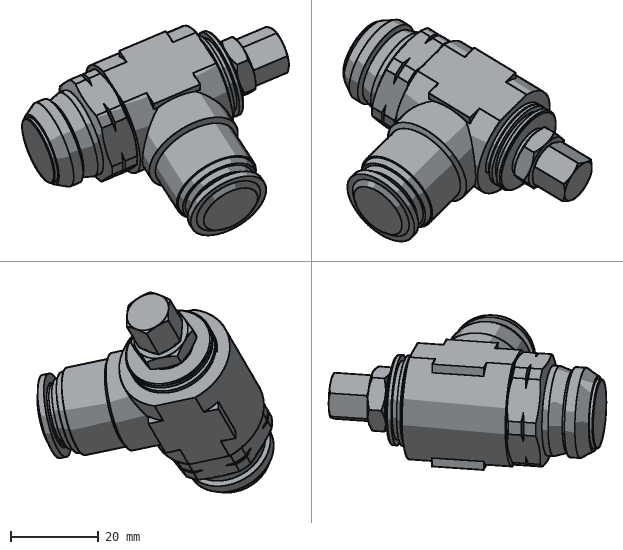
import cadquery as cq
import math

SWIVEL_TILT = 0.5

BODY_RADIUS = 13.45
BODY_HALF_LENGTH = 12.05
PAD_HALF_HEIGHT = 12.5
PAD_HALF_WIDTH = 8.5
PAD_LENGTH = BODY_HALF_LENGTH

BRANCH_RADIUS = 11.5
BRANCH_END = 16.8
SLEEVE_RADIUS = 10.3
SLEEVE_START = 17.55
SLEEVE_END = 28.0
CAP_RADIUS = 9.95
CAP_END_RADIUS = 9.5
CAP_END = 29.55
LIP_RADIUS = 8.9
LIP_END_RADIUS = 8.3
FLANGE_RADIUS = 9.8
FLANGE_START = 32.5
FLANGE_END = 34.0
COLLET_NECK_RADIUS = 7.3
COLLET_NECK_START = 31.05
COLLET_FLARE_LENGTH = 0.4
COLLET_FLARE_RADIUS = 7.6
COLLET_RIM_RADIUS = 8.25
COLLET_END_RADIUS = 7.0
COLLET_END = 35.05
COLLET_SLOT_LENGTH = 0.55
COLLET_SLOT_WIDTH = 0.95

STEM_RADIUS = 10.45
STEM_BOTTOM = -31.55
TIP_RADIUS = 8.05
TIP_CHAMFER = 0.2
NOSE_RADIUS = 8.7
NOSE_BOTTOM = -30.6
NOSE_TOP = -27.75
NECKING_RADIUS = 9.45
NECKING_BOTTOM = -25.3
NECKING_TOP = -24.6
TAPER_TOP = -21.5
COLLAR_CORE_RADIUS = 9.1
LOWER_RIB_BOTTOM = 13.1
LOWER_RIB_TOP = 13.95
UPPER_RIB_BOTTOM = 15.25
COLLAR_TOP = 16.45
COLLAR_EDGE = 0.3
CLIP_TOP = 12.95
CLIP_END_HEIGHT = -0.7
NECK_RADIUS = 6.05

NUT_ACROSS_FLATS = 23.95
NUT_CORNER_RADIUS = 13.0
NUT_TOP = -BODY_HALF_LENGTH
NUT_BOTTOM = -20.05
NUT_TOP_BEVEL = 0.55
NUT_BOTTOM_BEVEL = 0.95
NUT_GROOVE_Y = -16.0
NUT_GROOVE_HALF_WIDTH = 0.3
NUT_GROOVE_ROOT_RADIUS = 12.3

LOCK_NUT_ACROSS_FLATS = 13.05
LOCK_NUT_BOTTOM = 17.5
LOCK_NUT_TOP = 21.55
LOCK_NUT_BEVEL = 0.6
SCREW_ACROSS_FLATS = 10.1
SCREW_TOP = 30.95
SCREW_BEVEL = 0.45
SCREW_ANGLE = 34.0


def corner_radius(across_flats):
    return across_flats / 2 / math.cos(math.radians(30))


def turn_about_y(points):
    """Revolve a closed (radius, y) outline about the main axis."""
    return cq.Workplane("XY").polyline(points).close().revolve(360, (0, 0, 0), (0, 1, 0))


def turn_about_x(points):
    """Revolve a closed (x, radius) outline about the branch axis."""
    return cq.Workplane("XY").polyline(points).close().revolve(360, (0, 0, 0), (1, 0, 0))


def cylinder_y(radius, bottom, top):
    return cq.Workplane("XZ", origin=(0, top, 0)).circle(radius).extrude(top - bottom)


def hex_prism(across_flats, bottom, top, corner_angle=0.0):
    """Hexagonal bar along Y, with its first corner turned from +X toward +Z."""
    bar = cq.Workplane("XZ", origin=(0, top, 0)).polygon(6, 2 * corner_radius(across_flats))
    return bar.extrude(top - bottom).rotate((0, 0, 0), (0, 1, 0), -corner_angle)


def beveled_hex(across_flats, bottom, top, bevel, corner_angle=0.0):
    """Hexagonal bar whose corners are beveled at both ends."""
    flat_radius = across_flats / 2
    outer_radius = corner_radius(across_flats)
    envelope = turn_about_y([
        (0, bottom),
        (flat_radius, bottom),
        (outer_radius, bottom + bevel),
        (outer_radius, top - bevel),
        (flat_radius, top),
        (0, top),
    ])
    return hex_prism(across_flats, bottom, top, corner_angle).intersect(envelope)


def make_branch():
    branch = turn_about_x([
        (0, 0),
        (0, BRANCH_RADIUS),
        (BRANCH_END, BRANCH_RADIUS),
        (SLEEVE_START, SLEEVE_RADIUS),
        (SLEEVE_END, SLEEVE_RADIUS),
        (SLEEVE_END, CAP_RADIUS),
        (CAP_END, CAP_END_RADIUS),
        (CAP_END, LIP_RADIUS),
        (COLLET_NECK_START, LIP_END_RADIUS),
        (COLLET_NECK_START, COLLET_NECK_RADIUS),
        (FLANGE_START - COLLET_FLARE_LENGTH, COLLET_NECK_RADIUS),
        (FLANGE_START, COLLET_FLARE_RADIUS),
        (FLANGE_START, FLANGE_RADIUS),
        (FLANGE_END, FLANGE_RADIUS),
        (FLANGE_END, COLLET_RIM_RADIUS),
        (COLLET_END, COLLET_END_RADIUS),
        (COLLET_END, 0),
    ])
    slot_x = COLLET_NECK_START + COLLET_SLOT_LENGTH / 2
    slot = cq.Workplane("XY").box(COLLET_SLOT_LENGTH, COLLET_SLOT_WIDTH, 2 * SLEEVE_RADIUS)
    return branch.cut(slot.translate((slot_x, 0, 0)))


def make_swivel():
    """Body cylinder with trimmed top and bottom, wrench pads and branch."""
    barrel = cylinder_y(BODY_RADIUS, -BODY_HALF_LENGTH, BODY_HALF_LENGTH)
    trim = cq.Workplane("XY").box(2 * BODY_RADIUS, 2 * BODY_HALF_LENGTH, 2 * PAD_HALF_HEIGHT)
    pads = cq.Workplane("XY").box(2 * PAD_HALF_WIDTH, PAD_LENGTH, 2 * PAD_HALF_HEIGHT)
    swivel = barrel.intersect(trim).union(pads).union(make_branch())
    return swivel.rotate((0, 0, 0), (0, 1, 0), SWIVEL_TILT)


def make_stem():
    return turn_about_y([
        (0, STEM_BOTTOM),
        (TIP_RADIUS - TIP_CHAMFER, STEM_BOTTOM),
        (TIP_RADIUS, STEM_BOTTOM + TIP_CHAMFER),
        (TIP_RADIUS, NOSE_BOTTOM),
        (NOSE_RADIUS, NOSE_BOTTOM),
        (STEM_RADIUS, NOSE_TOP),
        (STEM_RADIUS, NECKING_BOTTOM),
        (NECKING_RADIUS, NECKING_TOP),
        (STEM_RADIUS, TAPER_TOP),
        (STEM_RADIUS, NUT_BOTTOM),
        (COLLAR_CORE_RADIUS, NUT_BOTTOM),
        (COLLAR_CORE_RADIUS, LOWER_RIB_BOTTOM),
        (STEM_RADIUS, LOWER_RIB_BOTTOM),
        (STEM_RADIUS, LOWER_RIB_TOP),
        (COLLAR_CORE_RADIUS, LOWER_RIB_TOP),
        (COLLAR_CORE_RADIUS, UPPER_RIB_BOTTOM),
        (STEM_RADIUS, UPPER_RIB_BOTTOM),
        (STEM_RADIUS, COLLAR_TOP - COLLAR_EDGE),
        (STEM_RADIUS - COLLAR_EDGE, COLLAR_TOP),
        (NECK_RADIUS, COLLAR_TOP),
        (NECK_RADIUS, LOCK_NUT_BOTTOM),
        (0, LOCK_NUT_BOTTOM),
    ])


def make_clip():
    """Half ring seated on the body around the upper side of the collar core."""
    ring = cylinder_y(STEM_RADIUS, BODY_HALF_LENGTH, CLIP_TOP)
    keep = cq.Workplane("XY").box(
        2 * STEM_RADIUS, 2 * CLIP_TOP, STEM_RADIUS - CLIP_END_HEIGHT, centered=(True, True, False)
    )
    return ring.intersect(keep.translate((0, 0, CLIP_END_HEIGHT)))


def make_nut():
    envelope = turn_about_y([
        (0, NUT_BOTTOM),
        (STEM_RADIUS, NUT_BOTTOM),
        (NUT_CORNER_RADIUS, NUT_BOTTOM + NUT_BOTTOM_BEVEL),
        (NUT_CORNER_RADIUS, NUT_GROOVE_Y - NUT_GROOVE_HALF_WIDTH),
        (NUT_GROOVE_ROOT_RADIUS, NUT_GROOVE_Y),
        (NUT_CORNER_RADIUS, NUT_GROOVE_Y + NUT_GROOVE_HALF_WIDTH),
        (NUT_CORNER_RADIUS, NUT_TOP - NUT_TOP_BEVEL),
        (NUT_ACROSS_FLATS / 2, NUT_TOP),
        (0, NUT_TOP),
    ])
    return hex_prism(NUT_ACROSS_FLATS, NUT_BOTTOM, NUT_TOP).intersect(envelope)


def make_lock_nut():
    return beveled_hex(LOCK_NUT_ACROSS_FLATS, LOCK_NUT_BOTTOM, LOCK_NUT_TOP, LOCK_NUT_BEVEL)


def make_screw():
    return beveled_hex(SCREW_ACROSS_FLATS, LOCK_NUT_TOP, SCREW_TOP, SCREW_BEVEL, SCREW_ANGLE)


result = (
    make_swivel()
    .union(make_stem())
    .union(make_clip())
    .union(make_nut())
    .union(make_lock_nut())
    .union(make_screw())
)